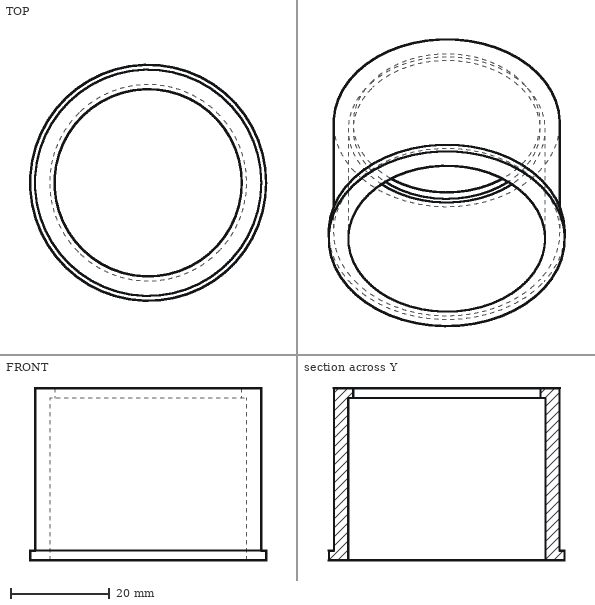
import cadquery as cq

total_height = 35.0
body_diameter = 46.0
flange_diameter = 48.0
flange_height = 2.0
bore_diameter = 40.0
lip_diameter = 38.0
lip_height = 2.0


def outer_shape():
    """Cylindrical sleeve with a thin flange around its base."""
    body = cq.Workplane("XY").circle(body_diameter / 2).extrude(total_height)
    flange = cq.Workplane("XY").circle(flange_diameter / 2).extrude(flange_height)
    return body.union(flange)


def stepped_bore():
    """Through bore that narrows to leave an inward lip at the top end."""
    main_bore = cq.Workplane("XY").circle(bore_diameter / 2).extrude(total_height - lip_height)
    lip_opening = cq.Workplane("XY").circle(lip_diameter / 2).extrude(total_height)
    return main_bore.union(lip_opening)


result = outer_shape().cut(stepped_bore())